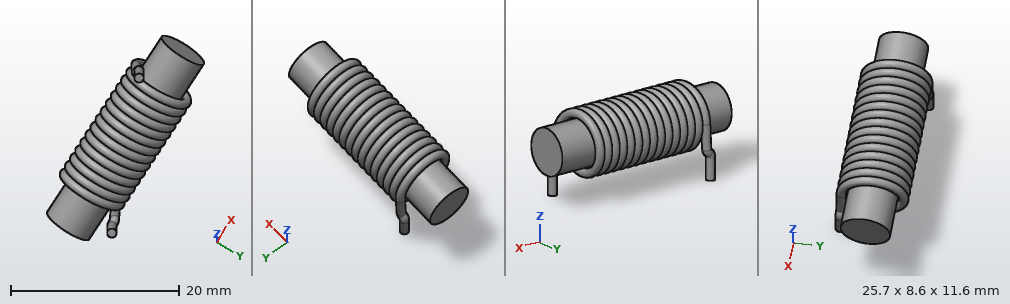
import cadquery as cq
import math

core_length = 25.7
core_diameter = 6.0

wire_diameter = 1.13
coil_outer_diameter = 8.6
coil_length = 16.58
turns = 14.5
overall_height = 11.6

bend_top_z = -3.35
bend_bottom_z = -4.35
pin_x = 9.02

wire_radius = wire_diameter / 2
winding_radius = (coil_outer_diameter - wire_diameter) / 2
pitch = coil_length / turns
coil_end_x = coil_length / 2
pin_bottom_z = coil_outer_diameter / 2 - overall_height

helix_slope = pitch / (2 * math.pi * winding_radius)
bend_start_x = coil_end_x - bend_top_z * helix_slope

bend_offset = pin_x - bend_start_x
bend_height = bend_top_z - bend_bottom_z
bend_angle = 2 * math.atan(bend_offset / bend_height)
bend_radius = bend_height / (2 * math.sin(bend_angle))


def make_core():
    return cq.Workplane("YZ").circle(core_diameter / 2).extrude(core_length / 2, both=True)


def wire_section(x, y, z):
    """Horizontal round cross-section of the wire."""
    return cq.Workplane("XY", origin=(x, y, z)).circle(wire_radius)


def make_winding():
    """Right-handed helix along X, from the +Y side to the -Y side."""
    origin = cq.Vector(0, 0, 0)
    helix = (
        cq.Wire.makeHelix(pitch, coil_length, winding_radius)
        .rotate(origin, cq.Vector(0, 1, 0), 90)
        .rotate(origin, cq.Vector(1, 0, 0), 90)
        .translate(cq.Vector(-coil_end_x, 0, 0))
    )
    return wire_section(-coil_end_x, winding_radius, 0).sweep(cq.Workplane(helix), isFrenet=True)


def make_lead():
    """Lead at the +X end of the coil, on its -Y side."""
    half_angle = bend_angle / 2
    arc_dx = bend_radius * (1 - math.cos(half_angle))
    arc_dz = bend_radius * math.sin(half_angle)
    bend_middle = (bend_start_x + bend_offset / 2, bend_top_z - bend_height / 2)
    path = (
        cq.Workplane("XZ", origin=(0, -winding_radius, 0))
        .moveTo(bend_start_x, bend_top_z)
        .threePointArc((bend_start_x + arc_dx, bend_top_z - arc_dz), bend_middle)
        .threePointArc((pin_x - arc_dx, bend_bottom_z + arc_dz), (pin_x, bend_bottom_z))
        .lineTo(pin_x, pin_bottom_z)
    )
    slant_path = (
        cq.Workplane("XZ", origin=(0, -winding_radius, 0))
        .moveTo(coil_end_x, 0)
        .lineTo(bend_start_x, bend_top_z)
    )
    slanted_run = wire_section(coil_end_x, -winding_radius, 0).sweep(slant_path)
    bend_and_pin = wire_section(bend_start_x, -winding_radius, bend_top_z).sweep(path)
    return slanted_run.union(bend_and_pin)


def make_coil():
    """Winding and its two leads, one wire; the leads are half a turn apart about Z."""
    coil = make_winding()
    lead = make_lead()
    for angle in (0, 180):
        coil = coil.union(lead.rotate((0, 0, 0), (0, 0, 1), angle))
    return coil


core = make_core()
coil = make_coil()
result = cq.Compound.makeCompound([core.val(), *coil.vals()])